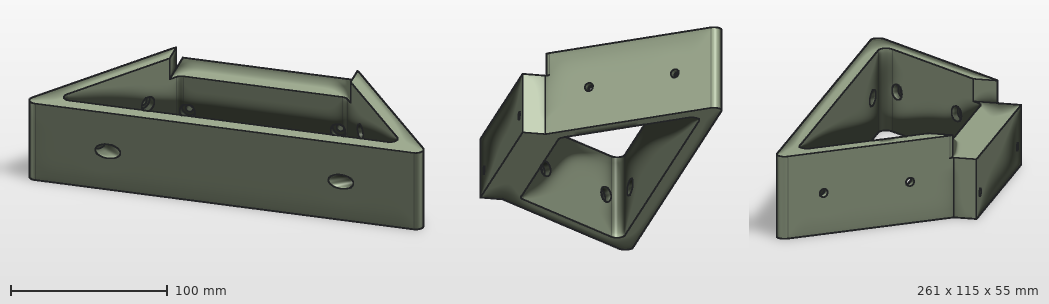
import cadquery as cq
import math

outer_width = 260.98
overall_depth = 115.0
frame_height = 55.0
wall_thickness = 10.0
corner_radius = 5.0
wall_angle = math.radians(53.0)

block_width = 120.0
block_depth = 25.0
block_height = 40.0
block_front = overall_depth - block_depth

upper_wall_depth = 100.0

head_diameter = 10.0
wall_screw_diameter = 5.5
wall_seat_thickness = 5.0
wall_hole_height = frame_height / 2
wall_hole_depth = 28.0
wall_hole_spacing = 60.0

block_screw_diameter = 5.0
block_head_depth = 5.0
block_hole_spacing = 100.0
block_hole_height = 15.0

half_front = outer_width / 2 - corner_radius + corner_radius / math.tan(wall_angle / 2)


def outer_wall_x(y):
    """X of the outer face of the +X side wall at a given Y."""
    return half_front - y / math.tan(wall_angle)


def inner_wall_x(y):
    """X of the inner face of the +X side wall at a given Y."""
    return outer_wall_x(y) - wall_thickness / math.sin(wall_angle)


def trapezoid(wall_x, front, rear, bottom, top):
    """Prism bounded by Y = front, Y = rear and the two mirrored wall faces."""
    corners = [
        (-wall_x(front), front),
        (wall_x(front), front),
        (wall_x(rear), rear),
        (-wall_x(rear), rear),
    ]
    return cq.Workplane("XY", origin=(0, 0, bottom)).polyline(corners).close().extrude(top - bottom)


def rear_box(width, front, bottom, top):
    """Box centred on X = 0, from Y = front to the rear of the part."""
    box = cq.Workplane("XY").box(width, overall_depth - front, top - bottom, centered=(True, False, False))
    return box.translate((0, front, bottom))


def make_lower_frame():
    """Frame up to the block height, with the side walls running into the block."""
    block_side_y = (half_front - block_width / 2) * math.tan(wall_angle)
    walls = trapezoid(outer_wall_x, 0, block_side_y, 0, block_height)
    walls = walls.edges("|Z and <Y").fillet(corner_radius)
    return walls.union(rear_box(block_width, block_front, 0, block_height))


def make_upper_frame():
    """Frame above the block, open at the rear."""
    walls = trapezoid(outer_wall_x, 0, upper_wall_depth, block_height, frame_height)
    walls = walls.edges("|Z").fillet(corner_radius)
    return walls.cut(rear_box(block_width, wall_thickness, block_height, frame_height))


def make_opening():
    opening = trapezoid(inner_wall_x, wall_thickness, block_front, 0, frame_height)
    return opening.edges("|Z").fillet(corner_radius)


def cylinder(start, direction, diameter, length):
    return cq.Workplane(cq.Solid.makeCylinder(diameter / 2, length, start, direction))


def wall_screw_hole(side, y, access_length):
    """Stepped hole square to a side wall, leaving its outer face at a given Y."""
    inward = cq.Vector(-side * math.sin(wall_angle), -math.cos(wall_angle), 0)
    outer_point = cq.Vector(side * outer_wall_x(y), y, wall_hole_height)
    seat_point = outer_point + inward * wall_seat_thickness
    screw_start = outer_point - inward * wall_thickness
    screw = cylinder(screw_start, inward, wall_screw_diameter, 2 * wall_thickness)
    head = cylinder(seat_point, inward, head_diameter, access_length)
    return screw.union(head)


def block_screw_hole(side):
    """Stepped hole along Y; the head clearance also cuts the inner corner."""
    start = cq.Vector(side * block_hole_spacing / 2, block_front - corner_radius, block_hole_height)
    along_y = cq.Vector(0, 1, 0)
    screw = cylinder(start, along_y, block_screw_diameter, block_depth + corner_radius)
    head = cylinder(start, along_y, head_diameter, block_head_depth + corner_radius)
    return screw.union(head)


result = make_lower_frame().union(make_upper_frame()).cut(make_opening())

front_access_length = (wall_hole_depth + wall_thickness) / math.cos(wall_angle)
rear_hole_depth = wall_hole_depth + wall_hole_spacing * math.sin(wall_angle)

for side in (-1, 1):
    result = result.cut(wall_screw_hole(side, wall_hole_depth, front_access_length))
    result = result.cut(wall_screw_hole(side, rear_hole_depth, wall_thickness))
    result = result.cut(block_screw_hole(side))